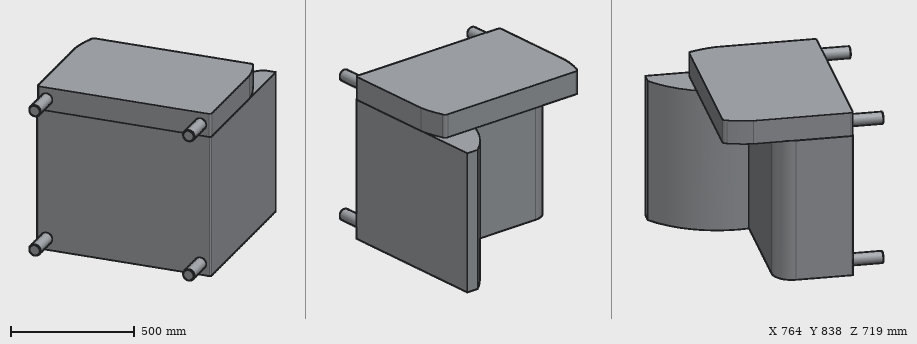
import cadquery as cq

total_width = 764.0
total_height = 838.0
total_depth = 719.0

leg_diameter = 51.0
leg_length = 130.0
leg_end_chamfer = 3.0
leg_x_positions = (44.5, 717.5)
leg_z_positions = (51.0, 668.0)

seat_depth = 617.0
seat_back_x = 763.0
seat_top = 453.0
seat_front_radius = 84.0
backrest_foot_x = 545.0
backrest_middle = (575.0, 664.0)
backrest_top_x = 709.0
seat_edge_radius = 7.0

arm_front_x = 3.0
arm_top = 664.0
arm_thickness = total_depth - seat_depth
arm_shoulder_y = 545.0
arm_shoulder_middle = (9.0, 54.0)
arm_shoulder_end = (25.0, 105.0)
arm_corner_middle = (30.0, 115.0)
arm_flat_inset = 42.0
arm_edge_radius = 10.0


def make_seat():
    """Seat with a rounded front and a convex backrest."""
    profile = (
        cq.Workplane("XY")
        .moveTo(0, leg_length)
        .lineTo(0, seat_top - seat_front_radius)
        .radiusArc((seat_front_radius, seat_top), seat_front_radius)
        .lineTo(backrest_foot_x, seat_top)
        .threePointArc(backrest_middle, (backrest_top_x, total_height))
        .lineTo(seat_back_x, total_height)
        .lineTo(seat_back_x, leg_length)
        .close()
    )
    seat = profile.extrude(seat_depth)
    return seat.faces("<Y").edges("|Z").fillet(seat_edge_radius)


def make_arm():
    """Flat panel with inward-curving upper sides and rounded lower edges."""

    def left(offset):
        return (arm_front_x + offset[0], arm_shoulder_y + offset[1])

    def right(offset):
        return (total_width - offset[0], arm_shoulder_y + offset[1])

    profile = (
        cq.Workplane("XY", origin=(0, 0, seat_depth))
        .moveTo(arm_front_x, leg_length)
        .lineTo(arm_front_x, arm_shoulder_y)
        .threePointArc(left(arm_shoulder_middle), left(arm_shoulder_end))
        .threePointArc(left(arm_corner_middle), (arm_front_x + arm_flat_inset, arm_top))
        .lineTo(total_width - arm_flat_inset, arm_top)
        .threePointArc(right(arm_corner_middle), right(arm_shoulder_end))
        .threePointArc(right(arm_shoulder_middle), (total_width, arm_shoulder_y))
        .lineTo(total_width, leg_length)
        .close()
    )
    arm = profile.extrude(arm_thickness)
    return arm.faces("<Y").edges("|Z").fillet(arm_edge_radius)


def make_leg(x, z):
    """Round leg with a chamfered free end, touching the underside at its other end."""
    leg = cq.Workplane("XZ", origin=(x, leg_length, z)).circle(leg_diameter / 2).extrude(leg_length)
    return leg.faces("<Y").chamfer(leg_end_chamfer)


seat = make_seat()
arm = make_arm()
legs = [make_leg(x, z).val() for x in leg_x_positions for z in leg_z_positions]

result = cq.Compound.makeCompound([seat.val(), arm.val(), *legs])